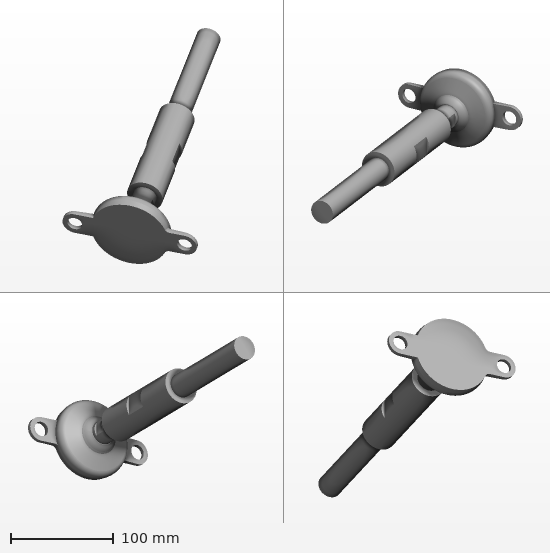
import cadquery as cq
import math

total_length = 286.5

rod_diameter = 24.0
sleeve_diameter = 36.0
sleeve_start = 55.3
sleeve_length = 115.7
sleeve_flat_width = 30.5
sleeve_flat_length = 25.2
neck_flat_width = 20.0
neck_flat_length = 13.0
neck_flat_start = 33.0

dome_top = 29.0
dome_top_radius = 12.5
seat_height = 23.5
seat_radius = 18.0

foot_diameter = 80.0
foot_radius = foot_diameter / 2
foot_base_radius = 39.0
rim_bottom = 6.3
rim_top = 9.0
shoulder_radius = 7.5
shoulder_height = 15.8
collar_height = 21.8
collar_radius = 19.5

ear_span = 136.0
ear_width = 25.0
ear_hole_diameter = 15.0
ear_root_thickness = 5.7
ear_tip_thickness = 4.0
ear_root_fillet = 5.5

dome_centre = (dome_top**2 + dome_top_radius**2 - seat_height**2 - seat_radius**2) / (
    2 * (dome_top - seat_height)
)
dome_radius = math.hypot(seat_radius, seat_height - dome_centre)


def turn(profile):
    """Revolve a closed half profile (radius, y) about the Y axis."""
    return profile.close().revolve(360, (0, 0, 0), (0, 1, 0))


def y_cylinder(diameter, start, length):
    """Cylinder along +Y that begins at y = start."""
    return cq.Workplane("XZ", origin=(0, start, 0)).circle(diameter / 2).extrude(-length)


def cut_flats(body, diameter, across, start, length):
    """Cut two opposite wrench flats that face -X and +X."""
    depth = (diameter - across) / 2
    for side in (-1, 1):
        cutter = cq.Workplane("XY").box(depth, length, diameter)
        body = body.cut(cutter.translate((side * (across + depth) / 2, start + length / 2, 0)))
    return body


def make_dome():
    """Spherical zone with a flat lower face through the sphere's centre."""
    top_angle = math.atan2(dome_top - dome_centre, dome_top_radius)
    middle_angle = top_angle / 2
    middle = (dome_radius * math.cos(middle_angle), dome_centre + dome_radius * math.sin(middle_angle))
    return turn(
        cq.Workplane("XY")
        .moveTo(0, dome_centre)
        .lineTo(dome_radius, dome_centre)
        .threePointArc(middle, (dome_top_radius, dome_top))
        .lineTo(0, dome_top)
    )


def make_spindle():
    rod = y_cylinder(rod_diameter, dome_top, total_length - dome_top)
    rod = cut_flats(rod, rod_diameter, neck_flat_width, neck_flat_start, neck_flat_length)
    sleeve = y_cylinder(sleeve_diameter, sleeve_start, sleeve_length)
    sleeve_flat_start = sleeve_start + (sleeve_length - sleeve_flat_length) / 2
    sleeve = cut_flats(sleeve, sleeve_diameter, sleeve_flat_width, sleeve_flat_start, sleeve_flat_length)
    return rod.union(sleeve).union(make_dome())


def make_foot_disc():
    """Turned disc with a rounded shoulder below its conical top."""
    shoulder_centre = foot_radius - shoulder_radius
    shoulder_angle = math.asin((shoulder_height - rim_top) / shoulder_radius)

    def shoulder_point(angle):
        return (
            shoulder_centre + shoulder_radius * math.cos(angle),
            rim_top + shoulder_radius * math.sin(angle),
        )

    return turn(
        cq.Workplane("XY")
        .lineTo(foot_base_radius, 0)
        .lineTo(foot_radius, rim_bottom)
        .lineTo(foot_radius, rim_top)
        .threePointArc(shoulder_point(shoulder_angle / 2), shoulder_point(shoulder_angle))
        .lineTo(collar_radius, collar_height)
        .lineTo(seat_radius, seat_height)
        .lineTo(0, seat_height)
    )


def make_ears():
    """Round-ended strip across the foot, filleted at the +X root and thinning towards both tips."""
    hole_spacing = ear_span - ear_width
    strip = cq.Workplane("XZ").slot2D(ear_span, ear_width).extrude(-ear_root_thickness)
    strip = strip.union(y_cylinder(2 * foot_base_radius, 0, ear_root_thickness))
    root_edges = strip.edges("|Y").filter(
        lambda edge: 0 < edge.Center().x < foot_base_radius
    )
    strip = root_edges.fillet(ear_root_fillet)
    for side in (-1, 1):
        hole = y_cylinder(ear_hole_diameter, 0, ear_root_thickness)
        strip = strip.cut(hole.translate((side * hole_spacing / 2, 0, 0)))
    wedge = (
        cq.Workplane("XY")
        .polyline(
            [
                (-ear_span / 2, 0),
                (ear_span / 2, 0),
                (ear_span / 2, ear_tip_thickness),
                (foot_base_radius, ear_root_thickness),
                (-foot_base_radius, ear_root_thickness),
                (-ear_span / 2, ear_tip_thickness),
            ]
        )
        .close()
        .extrude(foot_base_radius, both=True)
    )
    return strip.intersect(wedge)


def make_foot():
    return make_foot_disc().union(make_ears()).cut(make_dome())


spindle = make_spindle()
foot = make_foot()

result = cq.Compound.makeCompound([spindle.val(), foot.val()])